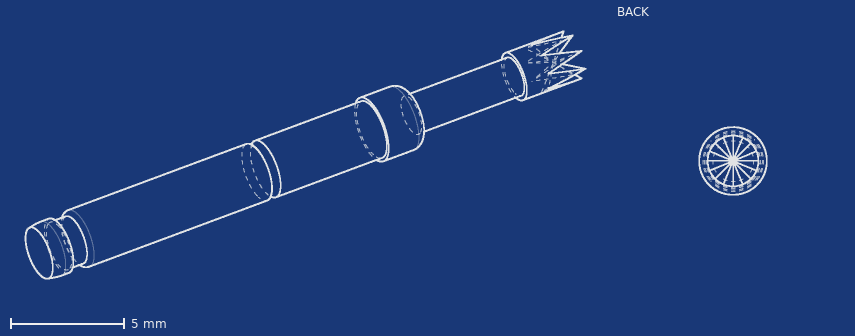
import cadquery as cq
import math

overall_length = 27.3

head_radius = 1.12
head_length = 3.0
tooth_count = 8
valley_depth = 1.85
center_depth = 1.0

shaft_radius = 0.9

collar_radius = 1.5
collar_length = 2.02
collar_top = 19.03
collar_round = 0.5

barrel_radius = 1.35
barrel_bottom = 1.8
groove_middle = 11.35
groove_width = 0.45
groove_depth = 0.16

neck_radius = 1.12
barrel_round = barrel_radius - neck_radius
button_radius = 1.28
button_top = 1.0
button_curve_height = 0.6
tail_end_radius = 1.2


def probe_body():
    """Revolve the half outline, drawn from the tail end up to the crown."""
    head_bottom = overall_length - head_length
    collar_bottom = collar_top - collar_length
    barrel_shoulder = barrel_bottom + barrel_round
    groove_bottom = groove_middle - groove_width / 2
    groove_top = groove_middle + groove_width / 2

    button_inset = button_radius - tail_end_radius
    button_curve_radius = (button_curve_height**2 + button_inset**2) / (2 * button_inset)

    outline = (
        cq.Workplane("XY")
        .lineTo(tail_end_radius, 0)
        .radiusArc((button_radius, button_curve_height), -button_curve_radius)
        .lineTo(button_radius, button_top)
        .lineTo(neck_radius, button_top)
        .lineTo(neck_radius, barrel_bottom)
        .radiusArc((barrel_radius, barrel_shoulder), -barrel_round)
        .lineTo(barrel_radius, groove_bottom)
        .threePointArc((barrel_radius - groove_depth, groove_middle), (barrel_radius, groove_top))
        .lineTo(barrel_radius, collar_bottom)
        .lineTo(collar_radius, collar_bottom)
        .lineTo(collar_radius, collar_top - collar_round)
        .tangentArcPoint((collar_radius - collar_round, collar_top), relative=False)
        .lineTo(shaft_radius, collar_top)
        .lineTo(shaft_radius, head_bottom)
        .lineTo(head_radius, head_bottom)
        .lineTo(head_radius, overall_length)
        .lineTo(0, overall_length)
        .close()
    )
    return outline.revolve(360, (0, 0, 0), (0, 1, 0))


def planar_face(points):
    """Flat face bounded by straight edges through the points."""
    return cq.Face.makeFromWires(cq.Wire.makePolygon(points, close=True))


def tooth_gap():
    """One sector cutter above two flanks that meet in a valley sloping down and outward."""
    half_angle = math.pi / tooth_count
    reach = 1.3
    clearance = 0.55

    center_y = overall_length - center_depth
    ridge_y = center_y + reach * center_depth
    cutter_top = ridge_y + clearance
    outer_z = reach * head_radius * math.cos(half_angle)
    outer_x = reach * head_radius * math.sin(half_angle)
    valley_y = center_y - (valley_depth - center_depth) * outer_z / head_radius

    center = cq.Vector(0, center_y, 0)
    valley = cq.Vector(0, valley_y, outer_z)
    left = cq.Vector(-outer_x, ridge_y, outer_z)
    right = cq.Vector(outer_x, ridge_y, outer_z)
    center_high = cq.Vector(0, cutter_top, 0)
    left_high = cq.Vector(-outer_x, cutter_top, outer_z)
    right_high = cq.Vector(outer_x, cutter_top, outer_z)

    faces = [
        planar_face([center, valley, left]),
        planar_face([center, right, valley]),
        planar_face([center, left, left_high, center_high]),
        planar_face([center, center_high, right_high, right]),
        planar_face([valley, right, right_high, left_high, left]),
        planar_face([center_high, left_high, right_high]),
    ]
    return cq.Solid.makeSolid(cq.Shell.makeShell(faces))


result = probe_body()
gap = tooth_gap()
tooth_pitch = 360 / tooth_count
for index in range(tooth_count):
    angle = (index + 0.5) * tooth_pitch
    turned_gap = gap.rotate(cq.Vector(0, 0, 0), cq.Vector(0, 1, 0), angle)
    result = result.cut(cq.Workplane(turned_gap))